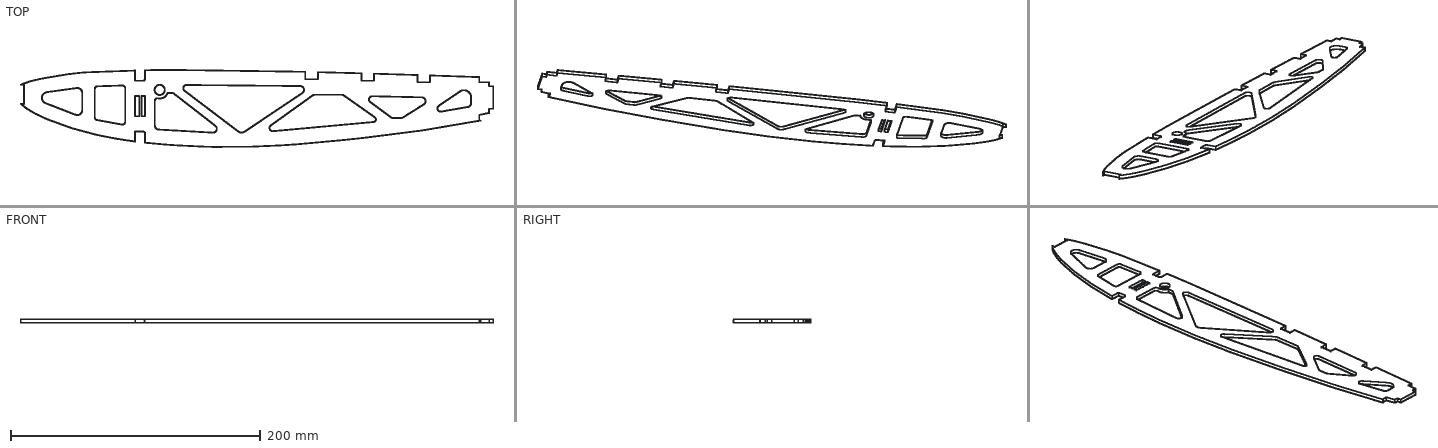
import cadquery as cq
import math

THICKNESS = 3.0
LENGTH = 379.53
HEIGHT = 62.11
TAIL_BACK_X = 368.4

NOSE_TOP = 50.2
NOSE_BOTTOM = 34.8
NOSE_RECESS = 2.6
UPPER_SKIN = [
    (0, NOSE_TOP),
    (7.4, 52.9),
    (22.3, 56.1),
    (47.4, 59.8),
    (69.2, 60.8),
    (106, 62.0),
    (150, 61.75),
    (216.6, 60.8),
    (303.5, 58.5),
    (TAIL_BACK_X, 56.35),
]
LOWER_SKIN = [
    (0, NOSE_BOTTOM),
    (5.1, 30.8),
    (21.1, 22.4),
    (40.6, 15.3),
    (79, 6.3),
    (113.7, 2.2),
    (155, 0.1),
    (208.6, 1.3),
    (260.1, 5.7),
    (322.9, 13.4),
    (369.3, 21.3),
]

TAIL_SHOULDER_X = 376.2
TAIL_TAB_TOP = 49.0
TAIL_TAB_BOTTOM = 30.7
TAIL_SHOULDER_TOP = 52.3
TAIL_SHOULDER_BOTTOM_FRONT = 25.8
TAIL_SHOULDER_BOTTOM_REAR = 27.4
TAIL_LIP_THICKNESS = 0.3

SPAR_X = 91.8
SPAR_WIDTH = 8.0
SPAR_NOTCH_TOP_FLOOR = 53.4
SPAR_NOTCH_BOTTOM_FLOOR = 12.4
SPAR_NOTCH_RADIUS = 1.5
FRONT_SLOT_WIDTH = 3.2
REAR_SLOT_WIDTH = 2.6
SLOT_BOTTOM = 24.9
SLOT_TOP = 40.9

STRINGER_WIDTH = 10.0
STRINGER_FIRST_X = 228.7
STRINGER_PITCH = 45.0
STRINGER_FLOORS = [54.6, 53.5, 52.3]

TUBE_CENTRE = (111.6, 46.0)
TUBE_DIAMETER = 8.0
TUBE_WEB_RADIUS = 7.0

CORNER_RADIUS = 3.0
SHARP_TIP_RADIUS = 2.5
SMALL_RADIUS = 2.0
NOSE_RADIUS = 4.0
WIDE_RADIUS = 4.5
TAIL_RADIUS = 5.6
POCKETS = [
    [(3.8, 41.7, WIDE_RADIUS), (49.4, 48.0, NOSE_RADIUS), (49.4, 24.0, NOSE_RADIUS)],
    [
        (59.6, 48.7, SMALL_RADIUS),
        (83.8, 49.5, SMALL_RADIUS),
        (83.8, 17.8, SMALL_RADIUS),
        (59.6, 22.2, SMALL_RADIUS),
    ],
    [(125.6, 49.9, SHARP_TIP_RADIUS), (234.2, 48.9, CORNER_RADIUS), (177.2, 10.8, WIDE_RADIUS)],
    [
        (193.5, 12.1, SHARP_TIP_RADIUS),
        (235.2, 42.0, CORNER_RADIUS),
        (258.7, 42.0, CORNER_RADIUS),
        (288.8, 20.8, SMALL_RADIUS),
    ],
    [
        (274.4, 41.0, SHARP_TIP_RADIUS),
        (332.2, 39.7, CORNER_RADIUS),
        (306.3, 23.5, CORNER_RADIUS),
        (298.1, 23.5, CORNER_RADIUS),
    ],
    [(326.2, 26.7, SHARP_TIP_RADIUS), (361.6, 50.6, TAIL_RADIUS), (361.6, 32.8, CORNER_RADIUS)],
]

WEB_POCKET_LEFT = 107.8
WEB_POCKET_TOP = 43.4
WEB_POCKET_PEAK_X = 122.4
WEB_POCKET_TIP = (163.9, 11.2)
WEB_POCKET_BOTTOM = 14.4


def plate():
    outline = (
        cq.Workplane("XY")
        .moveTo(*UPPER_SKIN[0])
        .spline(UPPER_SKIN[1:], includeCurrent=True)
        .lineTo(TAIL_BACK_X, TAIL_SHOULDER_TOP)
        .lineTo(TAIL_SHOULDER_X, TAIL_SHOULDER_TOP)
        .lineTo(TAIL_SHOULDER_X, TAIL_TAB_TOP)
        .lineTo(LENGTH, TAIL_TAB_TOP)
        .lineTo(LENGTH, TAIL_TAB_BOTTOM)
        .lineTo(TAIL_SHOULDER_X, TAIL_TAB_BOTTOM)
        .lineTo(TAIL_SHOULDER_X, TAIL_SHOULDER_BOTTOM_REAR)
        .lineTo(TAIL_BACK_X, TAIL_SHOULDER_BOTTOM_FRONT)
        .lineTo(TAIL_BACK_X, LOWER_SKIN[-1][1] + TAIL_LIP_THICKNESS)
        .lineTo(*LOWER_SKIN[-1])
        .spline(LOWER_SKIN[-2::-1], includeCurrent=True)
        .lineTo(NOSE_RECESS, NOSE_BOTTOM)
        .lineTo(NOSE_RECESS, NOSE_TOP)
        .close()
    )
    return outline.extrude(THICKNESS)


def block(left, right, bottom, top):
    """Rectangular cutter through the full thickness."""
    return (
        cq.Workplane("XY")
        .box(right - left, top - bottom, THICKNESS, centered=False)
        .translate((left, bottom, 0))
    )


def round_corners(cutter, corners):
    """Round the upright edge at each (x, y, radius) corner."""
    for x, y, radius in corners:
        at_corner = cq.selectors.NearestToPointSelector((x, y, THICKNESS / 2))
        cutter = cutter.edges("|Z").edges(at_corner).fillet(radius)
    return cutter


def pocket(corners):
    points = [(x, y) for x, y, _ in corners]
    cutter = cq.Workplane("XY").polyline(points).close().extrude(THICKNESS)
    return round_corners(cutter, corners)


def disc(centre, radius):
    return cq.Workplane("XY").center(*centre).circle(radius).extrude(THICKNESS)


def web_pocket():
    points = [
        (WEB_POCKET_LEFT, WEB_POCKET_TOP),
        (WEB_POCKET_PEAK_X, WEB_POCKET_TOP),
        WEB_POCKET_TIP,
        (WEB_POCKET_LEFT, WEB_POCKET_BOTTOM),
    ]
    cutter = cq.Workplane("XY").polyline(points).close().extrude(THICKNESS)
    cutter = cutter.cut(disc(TUBE_CENTRE, TUBE_WEB_RADIUS))
    web_drop = math.sqrt(TUBE_WEB_RADIUS**2 - (TUBE_CENTRE[0] - WEB_POCKET_LEFT) ** 2)
    corners = [
        (WEB_POCKET_LEFT, TUBE_CENTRE[1] - web_drop, SMALL_RADIUS),
        (WEB_POCKET_PEAK_X, WEB_POCKET_TOP, CORNER_RADIUS),
        (*WEB_POCKET_TIP, CORNER_RADIUS),
        (WEB_POCKET_LEFT, WEB_POCKET_BOTTOM, CORNER_RADIUS),
    ]
    return round_corners(cutter, corners)


def spar_cutters():
    right = SPAR_X + SPAR_WIDTH
    upper = block(SPAR_X, right, SPAR_NOTCH_TOP_FLOOR, HEIGHT)
    lower = block(SPAR_X, right, 0, SPAR_NOTCH_BOTTOM_FLOOR)
    return [
        round_corners(upper, [(right, SPAR_NOTCH_TOP_FLOOR, SPAR_NOTCH_RADIUS)]),
        round_corners(lower, [(right, SPAR_NOTCH_BOTTOM_FLOOR, SPAR_NOTCH_RADIUS)]),
        block(SPAR_X, SPAR_X + FRONT_SLOT_WIDTH, SLOT_BOTTOM, SLOT_TOP),
        block(right - REAR_SLOT_WIDTH, right, SLOT_BOTTOM, SLOT_TOP),
    ]


def stringer_cutters():
    notches = []
    for index, floor in enumerate(STRINGER_FLOORS):
        left = STRINGER_FIRST_X + index * STRINGER_PITCH
        notches.append(block(left, left + STRINGER_WIDTH, floor, HEIGHT))
    return notches


cutters = spar_cutters() + stringer_cutters()
cutters += [pocket(corners) for corners in POCKETS]
cutters += [web_pocket(), disc(TUBE_CENTRE, TUBE_DIAMETER / 2)]

result = plate()
for cutter in cutters:
    result = result.cut(cutter)